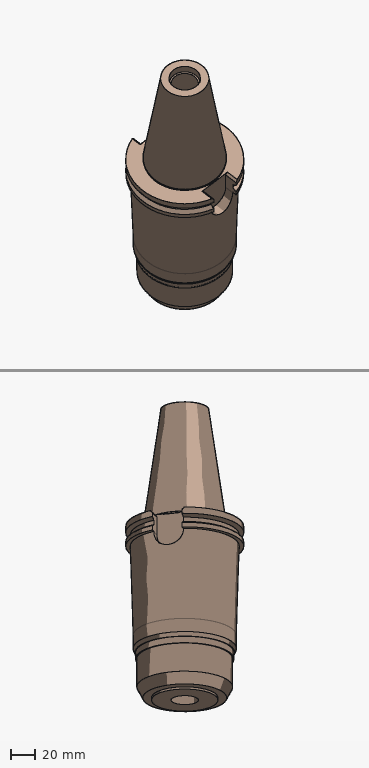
import cadquery as cq
import math

total_height = 256.4
taper_length = 101.6
gauge_diameter = 69.85
gauge_radius = gauge_diameter / 2
taper_ratio = 7 / 24
flange_offset = 1.5
gauge_z = total_height - taper_length
taper_tip_radius = gauge_radius - taper_length * taper_ratio / 2
neck_undercut = 0.4
neck_radius = gauge_radius - neck_undercut

flange_diameter = 98.425
flange_radius = flange_diameter / 2
flange_top_z = gauge_z - flange_offset
flange_bottom_offset = 19.05
flange_bottom_z = gauge_z - flange_bottom_offset
groove_offset = 11.1
groove_center_z = gauge_z - groove_offset
groove_floor_radius = 45.5
groove_floor_width = 3.75
groove_flank_angle = 30
groove_floor_half = groove_floor_width / 2
groove_mouth_half = groove_floor_half + (flange_radius - groove_floor_radius) * math.tan(
    math.radians(groove_flank_angle)
)

body_top_radius = 45.5
body_bottom_radius = 43.1
body_cone_bottom_z = 57.0
body_bottom_z = 45.4
body_chamfer_bottom_z = 41.9
body_chamfer_radius = 41.6
collar_radius = 41.0
collar_bottom_z = 36.3
nut_radius = 40.0
nut_cone_top_z = 11.5
nut_cone_radius = 35.0
nose_radius = 27.7
nose_height = 2.0

bore_radius = 11.3
counterbore_radius = 13.0
counterbore_depth = 7.0

slot_width = 25.9
slot_radius = slot_width / 2
slot_bottom_z = 122.4
slot_arc_center_z = slot_bottom_z + slot_radius
slot_chamfer = 2.0
shallow_floor_x = 37.7
deep_floor_x = 35.3

recess_radius = 5.0
recess_center_z = 144.0
recess_depth = 0.2


def make_body():
    """Revolve the outer half profile about the Z axis."""
    profile = [
        (0, 0),
        (nose_radius, 0),
        (nose_radius, nose_height),
        (nut_cone_radius, nose_height),
        (nut_radius, nut_cone_top_z),
        (nut_radius, collar_bottom_z),
        (collar_radius, collar_bottom_z),
        (collar_radius, body_chamfer_bottom_z),
        (body_chamfer_radius, body_chamfer_bottom_z),
        (body_bottom_radius, body_bottom_z),
        (body_bottom_radius, body_cone_bottom_z),
        (body_top_radius, flange_bottom_z),
        (flange_radius, flange_bottom_z),
        (flange_radius, groove_center_z - groove_mouth_half),
        (groove_floor_radius, groove_center_z - groove_floor_half),
        (groove_floor_radius, groove_center_z + groove_floor_half),
        (flange_radius, groove_center_z + groove_mouth_half),
        (flange_radius, flange_top_z),
        (neck_radius, flange_top_z),
        (neck_radius, gauge_z),
        (gauge_radius, gauge_z),
        (taper_tip_radius, total_height),
        (0, total_height),
    ]
    return cq.Workplane("YZ").polyline(profile).close().revolve(360, (0, 0, 0), (0, 1, 0))


def make_bore():
    """Through bore with a counterbore at the small end of the taper."""
    bore = cq.Workplane("XY").circle(bore_radius).extrude(total_height)
    counterbore = (
        cq.Workplane("XY")
        .workplane(offset=total_height - counterbore_depth)
        .circle(counterbore_radius)
        .extrude(counterbore_depth)
    )
    return bore.union(counterbore)


def make_slot_cutter(floor_x, side):
    """Drive slot on the +X (side=1) or -X (side=-1) face, chamfered at the flange top."""
    outline = (
        cq.Workplane("YZ")
        .workplane(offset=side * floor_x)
        .moveTo(-slot_radius, slot_arc_center_z)
        .threePointArc((0, slot_bottom_z), (slot_radius, slot_arc_center_z))
        .lineTo(slot_radius, flange_top_z - slot_chamfer)
        .lineTo(slot_radius + slot_chamfer, flange_top_z)
        .lineTo(-slot_radius - slot_chamfer, flange_top_z)
        .lineTo(-slot_radius, flange_top_z - slot_chamfer)
        .close()
    )
    return outline.extrude(side * (flange_radius - floor_x))


def make_recess():
    """Shallow disc sunk into the floor of the shallow slot."""
    return (
        cq.Workplane("YZ")
        .workplane(offset=-shallow_floor_x)
        .center(0, recess_center_z)
        .circle(recess_radius)
        .extrude(recess_depth)
    )


result = (
    make_body()
    .cut(make_bore())
    .cut(make_slot_cutter(shallow_floor_x, -1))
    .cut(make_slot_cutter(deep_floor_x, 1))
    .cut(make_recess())
)